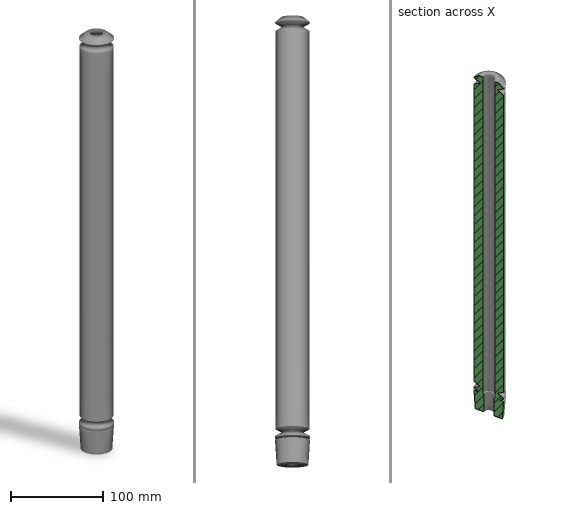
import cadquery as cq

length = 492.5
outer_radius = 38.0 / 2

main_bore_diameter = 14.5
outlet_diameter = 12.0

shaft_radius = 37.0 / 2
neck_radius = 24.0 / 2
top_face_radius = 24.0 / 2
tail_groove_radius = 28.5 / 2
tail_end_radius = 34.5 / 2

tail_top = 27.0
tail_groove_top = 28.0
flange_bottom = 29.5
flange_top = 31.5
lower_neck = 35.0
shaft_bottom = 39.5
shaft_top = 477.3
upper_neck = 481.0
neck_length = 1.0
head_rim_bottom = 485.5
head_rim_top = 487.5

rim_edge_radius = 36.5 / 2
rim_mid_height = (head_rim_bottom + head_rim_top) / 2


def turned_body():
    """Revolve the half outline, drawn as radius against height, about Z."""
    outline = (
        cq.Workplane("XZ")
        .lineTo(tail_end_radius, 0)
        .lineTo(outer_radius, tail_top)
        .lineTo(tail_groove_radius, tail_top)
        .lineTo(tail_groove_radius, tail_groove_top)
        .lineTo(outer_radius, flange_bottom)
        .lineTo(outer_radius, flange_top)
        .lineTo(neck_radius, lower_neck)
        .lineTo(neck_radius, lower_neck + neck_length)
        .lineTo(shaft_radius, shaft_bottom)
        .lineTo(shaft_radius, shaft_top)
        .lineTo(neck_radius, upper_neck)
        .lineTo(neck_radius, upper_neck + neck_length)
        .lineTo(rim_edge_radius, head_rim_bottom)
        .threePointArc((outer_radius, rim_mid_height), (rim_edge_radius, head_rim_top))
        .lineTo(top_face_radius, length)
        .lineTo(0, length)
        .close()
    )
    return outline.revolve(360, (0, 0, 0), (0, 1, 0))


def bore_section(diameter, bottom, top):
    """Round cutter on the axis between two heights."""
    return cq.Workplane("XY").workplane(offset=bottom).circle(diameter / 2).extrude(top - bottom)


result = (
    turned_body()
    .cut(bore_section(main_bore_diameter, tail_top, length))
    .cut(bore_section(outlet_diameter, 0, tail_top))
)